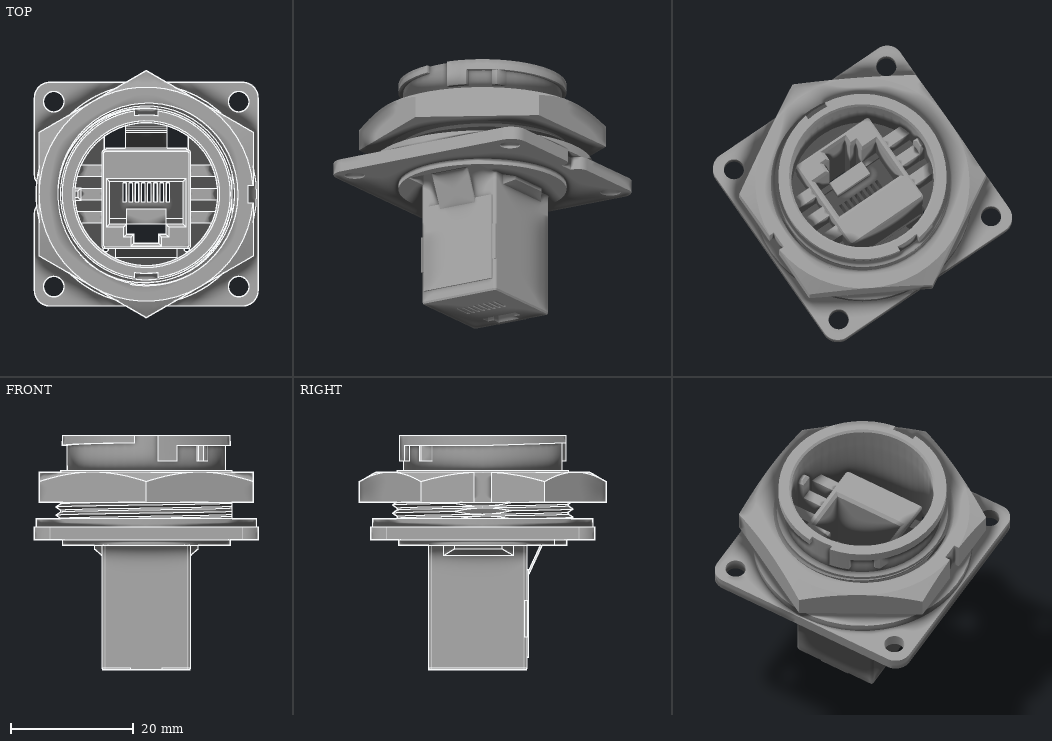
import cadquery as cq
import math

PLATE_TOP = 2.1
DISC_TOP = 3.45
SLEEVE_TOP = 11.35
TAB_BOTTOM = 12.82
RIM_BOTTOM = 15.35
HOUSING_TOP = 17.0
BOSS_BOTTOM = -0.93
FLOOR_TOP = 2.0
BAR_TOP = 8.15

PLATE_SIDE = 36.55
PLATE_CORNER_R = 2.6
SCREW_HOLE_D = 3.3
SCREW_HOLE_OFFSET = 15.1
NOTCH_HALF_WIDTH = 1.37
NOTCH_DEPTH = 2.0
NOTCH_LIP_R = 1.75

DISC_R = 18.0
SLEEVE_R = 14.0
RIM_R = 13.7
COLLAR_R = 12.95
BORE_R = 11.65
BORE_CHAMFER = 0.32

THREAD_PITCH = 1.35
THREAD_CREST_R = 14.75
THREAD_START = 2.0
THREAD_TOP = 10.8
THREAD_BURIAL = 0.12
THREAD_HALF_BASE = THREAD_PITCH * 0.45

RIM_NOTCH_WIDTH = 3.8
RIM_TAB_WIDTH = 3.15
RAMP_RISE = 0.45
DETENT_OUTLINE = [(8.2, -9.92), (8.5, -10.3), (9.3, -10.05), (9.95, -8.25), (9.28, -7.65)]

NUT_BOTTOM = 6.1
NUT_TOP = 11.05
NUT_CORNER_R = 20.15
NUT_APOTHEM = NUT_CORNER_R * math.cos(math.radians(30))
NUT_BORE_R = 14.95
NUT_CORE_R = 16.15
NUT_THREAD_CREST_R = 14.4
NUT_THREAD_HALF_BASE = THREAD_PITCH * 0.4
NUT_THREAD_START = 5.05
NUT_CHAMFER_ANGLE = 30
NUT_NOTCH_WIDTH = 2.82
NUT_NOTCH_INNER_X = 16.58

JACK_TOP = 8.85
JACK_BOTTOM = -21.2
JACK_HALF_X = 7.2
JACK_FRONT_Y = -8.87
JACK_BACK_Y = 7.2
JACK_EDGE_R = 0.5
JACK_TOP_CHAMFER = 0.3
JACK_FOOT_HEIGHT = 0.32
JACK_FOOT_INSET = 0.12
JACK_FOOT_GAP = 5.15

SOCKET_HALF_X = 6.0
SOCKET_BACK_Y = 2.05
SOCKET_FRONT_Y = -4.9
SOCKET_FLOOR = -3.63
SOCKET_MOUTH = 0.5
LATCH_WIDE_HALF_X = 3.2
LATCH_WIDE_Y = -6.55
LATCH_NARROW_HALF_X = 2.0
LATCH_NARROW_Y = -8.0
LEDGE_Y = -3.95
LEDGE_HEIGHT = 1.2
KEEPER_Y = -2.45
KEEPER_HEIGHT = 2.4
CONTACT_COUNT = 8
CONTACT_PITCH = 1.0
CONTACT_WIDTH = 0.52
CONTACT_BACK_Y = 1.85
CONTACT_FRONT_Y = -1.25

OPENING_HALF_X = 6.8
OPENING_BACK_Y = 11.7
RELIEF_R = 0.4
RELIEF_X = 6.6
RELIEF_Y = -9.0
BAR_WIDTH = 1.85
BAR_SPACING = 3.8
KEY_WIDTH = 2.0
KEY_INNER_X = -10.65
KEY_TOP = 12.1
KEY_CHAMFER = 0.5
CATCH_HALF_X = 5.0
CATCH_Y = -10.35
CATCH_TOP = 3.23

WING_TIP_X = 8.45
WING_BOTTOM = -2.6
WING_TIP_BOTTOM = -1.5
WING_BASE_Y = (-6.37, 5.05)
WING_TIP_Y = (-4.6, 3.15)

CLIP_HALF_X = 6.57
CLIP_Y = 7.5
CLIP_BOTTOM = -19.2
CLIP_TOP = -4.9
BAND_BOTTOM = -15.85
BAND_TOP = -9.9
BAND_FRONT_Y = 6.78
BAND_BACK_Y = 7.3
ARM_HALF_X = 3.4
ARM_FOOT_Z = -5.7
ARM_TOP_Z = 0.6
ARM_TOP_Y = 10.4
ARM_THICKNESS = 0.32
HOOK_BOTTOM = -0.4
HOOK_SHOULDER = (10.7, 0.4)
HOOK_NOSE = (11.0, 0.15)

OVERLAP = 0.4


def block(x_range, y_range, z_range):
    """Box between the given limits."""
    size = [high - low for low, high in (x_range, y_range, z_range)]
    corner = (x_range[0], y_range[0], z_range[0])
    return cq.Workplane("XY").box(*size, centered=False).translate(corner)


def disc(radius, bottom, top):
    """Cylinder about the Z axis between two levels."""
    return cq.Workplane("XY").workplane(offset=bottom).circle(radius).extrude(top - bottom)


def side_prism(points_yz, half_x):
    """Outline in the YZ plane, extruded symmetrically about X = 0."""
    return cq.Workplane("YZ").polyline(points_yz).close().extrude(half_x, both=True)


def both_ends(shape):
    """The shape together with its copy turned half a turn about Z."""
    return shape.union(shape.rotate((0, 0, 0), (0, 0, 1), 180))


def thread_ridge(base_r, crest_r, half_base, start, top):
    """Right-hand triangular ridge that starts on +X and runs one pitch past the top level."""
    path = cq.Wire.makeHelix(THREAD_PITCH, top + THREAD_PITCH - start, base_r)
    return (
        cq.Workplane("XZ")
        .polyline([(base_r, -half_base), (crest_r, 0), (base_r, half_base)])
        .close()
        .sweep(cq.Workplane(obj=path), isFrenet=True)
        .translate((0, 0, start))
    )


def flange():
    """Square plate with corner holes and a side notch, under a round disc."""
    edge = PLATE_SIDE / 2
    plate = block((-edge, edge), (-edge, edge), (0, PLATE_TOP)).edges("|Z").fillet(PLATE_CORNER_R)
    holes = (
        cq.Workplane("XY")
        .rect(2 * SCREW_HOLE_OFFSET, 2 * SCREW_HOLE_OFFSET, forConstruction=True)
        .vertices()
        .circle(SCREW_HOLE_D / 2)
        .extrude(PLATE_TOP)
    )
    notch_y = (-NOTCH_HALF_WIDTH, NOTCH_HALF_WIDTH)
    notch = block((-edge, -edge + NOTCH_DEPTH), notch_y, (0, PLATE_TOP))
    plate = plate.cut(holes).cut(notch)
    lip = cq.selectors.BoxSelector(
        (-edge - OVERLAP, -2 * NOTCH_HALF_WIDTH, -OVERLAP),
        (-edge + OVERLAP, 2 * NOTCH_HALF_WIDTH, PLATE_TOP + OVERLAP),
    )
    plate = plate.edges("|Z").edges(lip).fillet(NOTCH_LIP_R)
    return plate.union(disc(DISC_R, PLATE_TOP, DISC_TOP))


def threaded_sleeve():
    """Threaded sleeve whose thread is cut off flat on the +X side."""
    base_r = SLEEVE_R - THREAD_BURIAL
    ridge = thread_ridge(base_r, THREAD_CREST_R, THREAD_HALF_BASE, THREAD_START, THREAD_TOP)
    ridge = ridge.intersect(disc(DISC_R, DISC_TOP, THREAD_TOP))
    flat = block((SLEEVE_R, 2 * SLEEVE_R), (-SLEEVE_R, SLEEVE_R), (0, SLEEVE_TOP))
    return disc(SLEEVE_R, PLATE_TOP, SLEEVE_TOP).union(ridge.cut(flat))


def bayonet_collar():
    """Collar with a notched and ramped rim, stop tabs and detent bumps."""
    notch_edge = RIM_NOTCH_WIDTH / 2
    notch = block((-notch_edge, notch_edge), (-2 * RIM_R, 0), (0, HOUSING_TOP))
    wedge = (
        cq.Workplane("YZ")
        .polyline([(0, RIM_BOTTOM), (-RIM_R, RIM_BOTTOM), (-RIM_R, RIM_BOTTOM + RAMP_RISE)])
        .close()
        .extrude(-RIM_R)
    )
    tab_x = (notch_edge, notch_edge + RIM_TAB_WIDTH)
    tab = block(tab_x, (-RIM_R, -COLLAR_R / 2), (TAB_BOTTOM, HOUSING_TOP))
    tab = tab.intersect(disc(RIM_R, TAB_BOTTOM, HOUSING_TOP))
    detent = (
        cq.Workplane("XY")
        .workplane(offset=TAB_BOTTOM)
        .polyline(DETENT_OUTLINE)
        .close()
        .extrude(RIM_BOTTOM - TAB_BOTTOM)
    )
    rim = disc(RIM_R, RIM_BOTTOM, HOUSING_TOP).cut(both_ends(notch)).cut(both_ends(wedge))
    collar = disc(COLLAR_R, DISC_TOP, HOUSING_TOP)
    return collar.union(rim).union(both_ends(tab)).union(both_ends(detent))


def bore():
    """Chamfered round cavity above the floor."""
    cavity = disc(BORE_R, FLOOR_TOP, HOUSING_TOP)
    mouth = cq.Solid.makeCone(
        BORE_R, BORE_R + BORE_CHAMFER, BORE_CHAMFER, pnt=cq.Vector(0, 0, HOUSING_TOP - BORE_CHAMFER)
    )
    return cavity.union(cq.Workplane(obj=mouth))


def floor_bars():
    """Three bars on each side of the jack, running out to the bore wall."""
    bars = cq.Workplane("XY")
    for row in (-1, 0, 1):
        middle_y = row * BAR_SPACING
        y_range = (middle_y - BAR_WIDTH / 2, middle_y + BAR_WIDTH / 2)
        bars = bars.union(block((-RIM_R, RIM_R), y_range, (FLOOR_TOP - OVERLAP, BAR_TOP)))
    bars = bars.intersect(disc(BORE_R + OVERLAP, 0, BAR_TOP))
    gap = block((-JACK_HALF_X, JACK_HALF_X), (-RIM_R, RIM_R), (0, BAR_TOP))
    return bars.cut(gap)


def key_rib():
    """Polarising rib on the -X wall of the bore, bevelled at its upper end."""
    x_range = (-BORE_R - OVERLAP, KEY_INNER_X)
    rib = block(x_range, (-KEY_WIDTH / 2, KEY_WIDTH / 2), (FLOOR_TOP - OVERLAP, KEY_TOP))
    return rib.faces(">Z").edges(">X or >Y or <Y").chamfer(KEY_CHAMFER)


def jack_opening():
    """Opening through the floor behind the jack front, with round corner reliefs."""
    x_range = (-OPENING_HALF_X, OPENING_HALF_X)
    opening = block(x_range, (JACK_FRONT_Y, OPENING_BACK_Y), (BOSS_BOTTOM, FLOOR_TOP))
    for side in (-1, 1):
        relief = disc(RELIEF_R, BOSS_BOTTOM, FLOOR_TOP)
        opening = opening.union(relief.translate((side * RELIEF_X, RELIEF_Y, 0)))
    return opening


def jack_catch():
    """Sloped catch joining the floor to the -Y side of the jack."""
    outline = [
        (JACK_FRONT_Y + OVERLAP, BOSS_BOTTOM),
        (CATCH_Y, BOSS_BOTTOM),
        (CATCH_Y, FLOOR_TOP),
        (JACK_FRONT_Y, CATCH_TOP),
        (JACK_FRONT_Y + OVERLAP, CATCH_TOP),
    ]
    return side_prism(outline, CATCH_HALF_X)


def socket_outline(level, margin):
    """Stepped socket outline, grown outward by a margin."""
    right = [
        (SOCKET_HALF_X + margin, SOCKET_BACK_Y + margin),
        (SOCKET_HALF_X + margin, SOCKET_FRONT_Y - margin),
        (LATCH_WIDE_HALF_X + margin, SOCKET_FRONT_Y - margin),
        (LATCH_WIDE_HALF_X + margin, LATCH_WIDE_Y - margin),
        (LATCH_NARROW_HALF_X + margin, LATCH_WIDE_Y - margin),
        (LATCH_NARROW_HALF_X + margin, LATCH_NARROW_Y - margin),
    ]
    left = [(-x, y) for x, y in reversed(right)]
    points = [cq.Vector(x, y, level) for x, y in right + left]
    return cq.Wire.makePolygon(points, close=True)


def socket():
    """Socket with flared mouth, latch ledges, contact slots and latch passage."""
    mouth_bottom = JACK_TOP - SOCKET_MOUTH
    mouth_wires = [socket_outline(mouth_bottom, 0), socket_outline(JACK_TOP, SOCKET_MOUTH)]
    mouth = cq.Workplane(obj=cq.Solid.makeLoft(mouth_wires, True))
    cavity = block(
        (-SOCKET_HALF_X, SOCKET_HALF_X), (SOCKET_FRONT_Y, SOCKET_BACK_Y), (SOCKET_FLOOR, mouth_bottom)
    )
    ledge = block(
        (-SOCKET_HALF_X, SOCKET_HALF_X),
        (SOCKET_FRONT_Y, LEDGE_Y),
        (SOCKET_FLOOR, SOCKET_FLOOR + LEDGE_HEIGHT),
    )
    keeper = block(
        (-LATCH_WIDE_HALF_X, LATCH_WIDE_HALF_X),
        (SOCKET_FRONT_Y, KEEPER_Y),
        (SOCKET_FLOOR, SOCKET_FLOOR + KEEPER_HEIGHT),
    )
    void = cavity.cut(ledge).cut(keeper).union(mouth)
    passage_z = (JACK_BOTTOM, mouth_bottom)
    wide = block((-LATCH_WIDE_HALF_X, LATCH_WIDE_HALF_X), (LATCH_WIDE_Y, SOCKET_FRONT_Y), passage_z)
    narrow = block(
        (-LATCH_NARROW_HALF_X, LATCH_NARROW_HALF_X), (LATCH_NARROW_Y, SOCKET_FRONT_Y), passage_z
    )
    void = void.union(wide).union(narrow)
    for index in range(CONTACT_COUNT):
        middle_x = (index - (CONTACT_COUNT - 1) / 2) * CONTACT_PITCH
        x_range = (middle_x - CONTACT_WIDTH / 2, middle_x + CONTACT_WIDTH / 2)
        slot = block(x_range, (CONTACT_FRONT_Y, CONTACT_BACK_Y), (JACK_BOTTOM, SOCKET_FLOOR + OVERLAP))
        void = void.union(slot)
    return void


def jack_shell():
    """Jack case with rounded uprights, eased top and a bevelled foot."""
    x_range = (-JACK_HALF_X, JACK_HALF_X)
    y_range = (JACK_FRONT_Y, JACK_BACK_Y)
    foot_top = JACK_BOTTOM + JACK_FOOT_HEIGHT
    case = block(x_range, y_range, (foot_top, JACK_TOP)).edges("|Z").fillet(JACK_EDGE_R)
    case = case.faces(">Z").chamfer(JACK_TOP_CHAMFER)
    taper = math.degrees(math.atan2(JACK_FOOT_INSET, JACK_FOOT_HEIGHT))
    foot = case.faces("<Z").wires().toPending().workplane().extrude(
        JACK_FOOT_HEIGHT, taper=taper, combine=False
    )
    foot_gap = block(
        (-JACK_FOOT_GAP / 2, JACK_FOOT_GAP / 2),
        (JACK_FRONT_Y, JACK_FRONT_Y + OVERLAP),
        (JACK_BOTTOM, foot_top),
    )
    return case.union(foot).union(foot_gap)


def wing_section(distance, y_range, bottom):
    """Upright rectangle of a wing at a distance from the YZ plane."""
    corners = [(y_range[0], bottom), (y_range[1], bottom), (y_range[1], 0), (y_range[0], 0)]
    return cq.Wire.makePolygon([cq.Vector(distance, y, z) for y, z in corners], close=True)


def jack_wings():
    """Tapered wings under the floor on both sides of the jack."""
    base = wing_section(JACK_HALF_X, WING_BASE_Y, WING_BOTTOM)
    tip = wing_section(WING_TIP_X, WING_TIP_Y, WING_TIP_BOTTOM)
    wing = cq.Workplane(obj=cq.Solid.makeLoft([base, tip], True))
    return wing.union(wing.mirror("YZ"))


def spring_clip():
    """Clip plate on the +Y side with a wrap-around band and a hooked arm."""
    plate_y = (JACK_BACK_Y - OVERLAP, CLIP_Y)
    plate = block((-CLIP_HALF_X, CLIP_HALF_X), plate_y, (CLIP_BOTTOM, CLIP_TOP))
    band = block((-JACK_HALF_X, JACK_HALF_X), (BAND_FRONT_Y, BAND_BACK_Y), (BAND_BOTTOM, BAND_TOP))
    arm = side_prism(
        [
            (CLIP_Y - ARM_THICKNESS, ARM_FOOT_Z),
            (CLIP_Y, ARM_FOOT_Z),
            (ARM_TOP_Y, ARM_TOP_Z),
            (ARM_TOP_Y - ARM_THICKNESS, ARM_TOP_Z),
        ],
        ARM_HALF_X,
    )
    hook = side_prism(
        [
            (ARM_TOP_Y - ARM_THICKNESS, ARM_TOP_Z),
            (ARM_TOP_Y - ARM_THICKNESS, HOOK_BOTTOM),
            (OPENING_BACK_Y, HOOK_BOTTOM),
            HOOK_NOSE,
            HOOK_SHOULDER,
            (ARM_TOP_Y, ARM_TOP_Z),
        ],
        ARM_HALF_X,
    )
    return plate.union(band).union(arm).union(hook)


def build_housing():
    """Flanged bayonet housing with the jack fixed in its floor."""
    shell = flange().union(disc(RIM_R, BOSS_BOTTOM, PLATE_TOP))
    shell = shell.union(threaded_sleeve()).union(bayonet_collar()).cut(bore())
    shell = shell.cut(jack_opening()).union(floor_bars()).union(key_rib())
    jack = jack_shell().union(jack_wings()).union(spring_clip())
    return shell.union(jack).union(jack_catch()).cut(socket())


def nut_thread_core():
    """Ring around the nut bore that carries the internal thread."""
    ridge = thread_ridge(
        NUT_BORE_R + THREAD_BURIAL, NUT_THREAD_CREST_R, NUT_THREAD_HALF_BASE, NUT_THREAD_START, NUT_TOP
    )
    bottom = NUT_THREAD_START - THREAD_PITCH
    top = NUT_TOP + 2 * THREAD_PITCH
    ring = disc(NUT_CORE_R, bottom, top).cut(disc(NUT_BORE_R, bottom, top)).union(ridge)
    return ring.intersect(disc(NUT_CORE_R + OVERLAP, NUT_BOTTOM, NUT_TOP))


def build_nut():
    """Hexagonal nut with corners on Y, coned top, internal thread and a notch on +X."""
    height = NUT_TOP - NUT_BOTTOM
    nut = (
        cq.Workplane("XY")
        .workplane(offset=NUT_BOTTOM)
        .polygon(6, 2 * NUT_CORNER_R)
        .extrude(height)
        .rotate((0, 0, 0), (0, 0, 1), 30)
    )
    cone_drop = (NUT_CORNER_R - NUT_APOTHEM) * math.tan(math.radians(NUT_CHAMFER_ANGLE))
    envelope = (
        cq.Workplane("XZ")
        .polyline(
            [
                (0, NUT_BOTTOM),
                (NUT_CORNER_R, NUT_BOTTOM),
                (NUT_CORNER_R, NUT_TOP - cone_drop),
                (NUT_APOTHEM, NUT_TOP),
                (0, NUT_TOP),
            ]
        )
        .close()
        .revolve(360, (0, 0, 0), (0, 1, 0))
    )
    notch_y = (-NUT_NOTCH_WIDTH / 2, NUT_NOTCH_WIDTH / 2)
    notch = block((NUT_NOTCH_INNER_X, NUT_CORNER_R), notch_y, (NUT_BOTTOM, NUT_TOP))
    nut = nut.intersect(envelope).cut(disc(NUT_CORE_R, NUT_BOTTOM, NUT_TOP)).cut(notch)
    return nut.union(nut_thread_core())


housing = build_housing()
nut = build_nut()
result = cq.Compound.makeCompound([*housing.solids().vals(), *nut.solids().vals()])